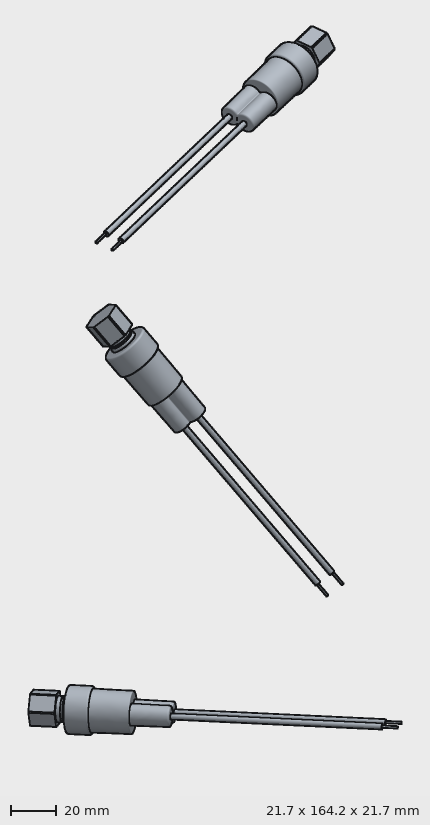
import cadquery as cq
import math

COLLAR_DIAMETER = 21.7
COLLAR_LENGTH = 11.0
COLLAR_ROUND = 1.0
RING_DIAMETER = 12.6
RING_LENGTH = 1.5
RING_ROUND = 0.7
GROOVE_DIAMETER = 10.8
GROOVE_LENGTH = 1.0
NECK_DIAMETER = 11.7
NECK_LENGTH = 2.0
HEX_ACROSS_FLATS = 14.6
HEX_LENGTH = 11.7
HEX_EDGE_CHAMFER = 0.41

TOTAL_LENGTH = 164.2
BARREL_DIAMETER = 19.5
BARREL_END_DIAMETER = 19.2
BARREL_LENGTH = 18.0
BARREL_END_ROUND = 0.5
LEAD_OFFSET = 4.0
SLEEVE_DIAMETER = 9.9
SLEEVE_END_DIAMETER = 9.5
SLEEVE_LENGTH = 17.7
SLEEVE_END_ROUND = 0.9
VALLEY_ROUND = 0.5
WIRE_DIAMETER = 2.8
CONDUCTOR_DIAMETER = 1.1
CONDUCTOR_LENGTH = 7.0
CONDUCTOR_SHIFT = 0.3

FITTING_LENGTH = COLLAR_LENGTH + RING_LENGTH + GROOVE_LENGTH + NECK_LENGTH + HEX_LENGTH
LEAD_END = FITTING_LENGTH - TOTAL_LENGTH
SLEEVE_START = -BARREL_LENGTH
SLEEVE_END = SLEEVE_START - SLEEVE_LENGTH
WIRE_END = LEAD_END + CONDUCTOR_LENGTH


def cylinder(diameter, start, end, x=0.0):
    """Round bar along Y between two Y positions, its axis at the given X."""
    return (
        cq.Workplane("XZ", origin=(x, start, 0))
        .circle(diameter / 2)
        .extrude(start - end)
    )


def tapered(start_diameter, end_diameter, start, end, x=0.0):
    """Bar along Y whose diameter changes evenly from start to end."""
    return (
        cq.Workplane("XZ", origin=(x, start, 0))
        .circle(start_diameter / 2)
        .workplane(offset=start - end)
        .circle(end_diameter / 2)
        .loft()
    )


def make_hexagon(start, end):
    """Hexagon with flats facing up and down and chamfered long edges."""
    across_corners = HEX_ACROSS_FLATS / math.cos(math.radians(30))
    return (
        cq.Workplane("XZ", origin=(0, start, 0))
        .polygon(6, across_corners)
        .extrude(start - end)
        .edges("|Y")
        .chamfer(HEX_EDGE_CHAMFER)
    )


def make_fitting():
    """Metal fitting stacked from the collar out to the hexagon."""
    ring_start = COLLAR_LENGTH
    groove_start = ring_start + RING_LENGTH
    neck_start = groove_start + GROOVE_LENGTH
    hex_start = neck_start + NECK_LENGTH

    collar = cylinder(COLLAR_DIAMETER, 0, COLLAR_LENGTH)
    collar = collar.faces("<Y or >Y").edges().fillet(COLLAR_ROUND)
    ring = cylinder(RING_DIAMETER, ring_start, groove_start)
    ring = ring.faces(">Y").edges().fillet(RING_ROUND)
    groove = cylinder(GROOVE_DIAMETER, groove_start, neck_start)
    neck = cylinder(NECK_DIAMETER, neck_start, hex_start)
    hexagon = make_hexagon(hex_start, FITTING_LENGTH)
    return collar.union(ring).union(groove).union(neck).union(hexagon)


def make_barrel():
    """Drafted barrel with a rounded free end."""
    barrel = tapered(BARREL_DIAMETER, BARREL_END_DIAMETER, 0, SLEEVE_START)
    return barrel.faces("<Y").edges().fillet(BARREL_END_ROUND)


def make_sleeve(side):
    """One drafted sleeve with a rounded end, on one side (-1 or 1)."""
    sleeve = tapered(SLEEVE_DIAMETER, SLEEVE_END_DIAMETER, SLEEVE_START, SLEEVE_END, side * LEAD_OFFSET)
    return sleeve.faces("<Y").edges().fillet(SLEEVE_END_ROUND)


def make_sleeves():
    """Two sleeves merged side by side, with the valleys between them rounded."""
    sleeves = make_sleeve(-1).union(make_sleeve(1))
    radius = SLEEVE_DIAMETER / 2
    middle_slab = cq.selectors.BoxSelector(
        (-VALLEY_ROUND, SLEEVE_END, -radius),
        (VALLEY_ROUND, SLEEVE_START, radius),
    )
    return sleeves.edges(middle_slab).fillet(VALLEY_ROUND)


def make_lead(side):
    """Insulated wire and its bare conductor on one side (-1 or 1)."""
    wire = cylinder(WIRE_DIAMETER, SLEEVE_END, WIRE_END, side * LEAD_OFFSET)
    conductor_x = side * (LEAD_OFFSET + CONDUCTOR_SHIFT)
    conductor = cylinder(CONDUCTOR_DIAMETER, WIRE_END, LEAD_END, conductor_x)
    return wire.union(conductor)


def make_boot():
    """Moulded boot, one piece with its two leads."""
    boot = make_barrel().union(make_sleeves())
    for side in (-1, 1):
        boot = boot.union(make_lead(side))
    return boot


fitting = make_fitting()
boot = make_boot()

result = cq.Compound.makeCompound([fitting.val(), boot.val()])